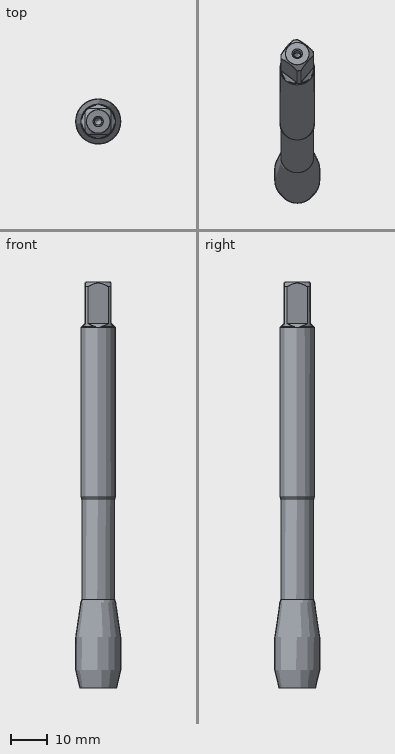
import cadquery as cq

total_length = 110.0

head_diameter = 12.2
tip_diameter = 9.9
shoulder_diameter = 9.5
lead_length = 4.8
full_diameter_end = 13.8
taper_end = 23.1
head_length = 24.0

neck_diameter = 8.9
shank_diameter = 9.4
neck_end = 51.2
shank_start = 51.8
shank_end = 97.7
shank_end_chamfer = (shank_diameter - neck_diameter) / 2

drive_width = 7.0
drive_flat_base = 98.8
drive_top_diameter = 6.4
drive_top_chamfer_height = 1.3

center_hole_diameter = 2.0
center_hole_depth = 2.2
countersink_diameter = 2.8
countersink_depth = (countersink_diameter - center_hole_diameter) / 2


def turned(profile):
    """Revolve a (radius, height) outline, closed along the Z axis."""
    return cq.Workplane("XZ").polyline(profile).close().revolve(360, (0, 0), (0, 1))


def make_head():
    """Tapered lead, full-diameter land and taper down to the neck."""
    return turned([
        (0, 0),
        (tip_diameter / 2, 0),
        (head_diameter / 2, lead_length),
        (head_diameter / 2, full_diameter_end),
        (shoulder_diameter / 2, taper_end),
        (neck_diameter / 2, head_length),
        (0, head_length),
    ])


def shank_blank():
    """Neck, shank and round drive stub before the flats are milled."""
    return turned([
        (0, head_length),
        (neck_diameter / 2, head_length),
        (neck_diameter / 2, neck_end),
        (shank_diameter / 2, shank_start),
        (shank_diameter / 2, shank_end),
        (neck_diameter / 2, shank_end + shank_end_chamfer),
        (neck_diameter / 2, total_length - drive_top_chamfer_height),
        (drive_top_diameter / 2, total_length),
        (0, total_length),
    ])


def flat_cutter():
    """Cutter for the +X drive flat, running out at 45 degrees at its base."""
    inner = drive_width / 2
    outer = shank_diameter
    runout = outer - inner
    return (
        cq.Workplane("XZ")
        .polyline([
            (inner, total_length),
            (inner, drive_flat_base),
            (outer, drive_flat_base - runout),
            (outer, total_length),
        ])
        .close()
        .extrude(shank_diameter, both=True)
    )


def center_hole():
    """Countersunk blind hole, as a solid to cut away."""
    return turned([
        (0, total_length),
        (countersink_diameter / 2, total_length),
        (center_hole_diameter / 2, total_length - countersink_depth),
        (center_hole_diameter / 2, total_length - center_hole_depth),
        (0, total_length - center_hole_depth - center_hole_diameter / 2),
    ])


def make_shank():
    """Shank with its neck, square drive and centre hole."""
    shank = shank_blank()
    for angle in (0, 90, 180, 270):
        shank = shank.cut(flat_cutter().rotate((0, 0, 0), (0, 0, 1), angle))
    return shank.cut(center_hole())


head = make_head()
shank = make_shank()
result = cq.Compound.makeCompound([head.val(), shank.val()])